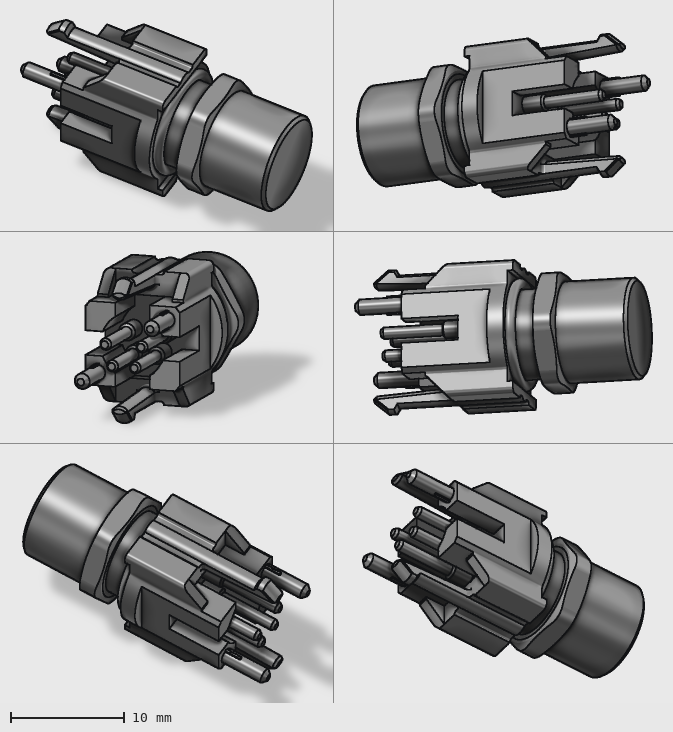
import cadquery as cq
import math

X_AXIS = cq.Vector(1, 0, 0)

body_diameter = 11.0
neck_diameter = 8.0
barrel_diameter = 9.0
barrel_chamfer = 0.3
block_front = 4.45
flange_front = 12.5
flange_back = 14.0
barrel_front = 16.5
barrel_end = 25.0

block_half_width = 4.4
wing_half_width = 4.0
block_half_height = math.sqrt((body_diameter / 2) ** 2 - wing_half_width ** 2)
recess_floor = 9.6
recess_diameter = 6.0
side_slot_height = 2.2
vertical_slot_width = 3.24

wing_height = 6.0
wing_front = 8.47
wing_back = 14.5
wing_edge_radius = 0.5
wing_foot_radius = 0.45
overhang_height = 5.0
channel_width = 3.0
channel_depth = 0.3
channel_corner_radius = 0.29
rib_front = 6.5
rib_inner_y = 3.0

beam_half_width = 0.75
beam_crown_radius = 1.05
beam_belly_radius = 0.87
beam_root_radius = 0.3
beam_tip_x = 0.93
beam_tip_half_width = 0.55
beam_tip_top = 5.45
beam_tip_bottom = 5.0
beam_start_x = 1.2
beam_start_bottom = 4.78
belly_slope = 0.05
hook_top = 6.5
hook_slope_x = 2.2
hook_back_x = 2.82
hook_heel_x = 3.13
hook_edge_chamfer = 0.08

signal_pin_tip = 1.92
signal_pin_diameter = 1.05
signal_pin_chamfer = (0.18, 0.28)
signal_collar_front = 7.76
signal_collar_taper = 0.18
signal_collar_diameter = 1.55
signal_pin_places = [(-1.7, 0.49), (1.7, 0.49), (-1.06, -1.43), (1.06, -1.43)]

shield_pin_diameter = 1.4
shield_pin_chamfer = (0.38, 0.4)
shield_pin_places = [(-3.25, 2.6), (3.25, -2.6)]
key_front = 2.87
key_width = 0.25
key_height = 1.66

ring_section_diameter = 1.0
ring_centre_x = 14.34

nut_length = 2.0
nut_across_flats = 10.0
nut_corner_radius = 1.8
nut_face_diameter = 9.6
nut_chamfer_length = 0.22


def box(x_range, y_range, z_range):
    """Axis-aligned block between the given limits."""
    size = [high - low for low, high in (x_range, y_range, z_range)]
    corner = (x_range[0], y_range[0], z_range[0])
    return cq.Workplane("XY").box(*size, centered=False).translate(corner)


def cylinder(diameter, start, end, y=0.0, z=0.0):
    """Cylinder along X between two stations."""
    return cq.Workplane("YZ", origin=(start, y, z)).circle(diameter / 2).extrude(end - start)


def turned(profile, y=0.0, z=0.0):
    """Solid turned about an X-parallel axis from an (x, radius) profile."""
    turn = cq.Workplane("XY").polyline(profile).close().revolve(360, (0, 0, 0), (1, 0, 0))
    return turn.translate((0, y, z))


def make_ring():
    section_radius = ring_section_diameter / 2
    centre_radius = neck_diameter / 2 + section_radius
    return cq.Workplane(
        cq.Solid.makeTorus(centre_radius, section_radius, cq.Vector(ring_centre_x, 0, 0), X_AXIS)
    )


def make_nut():
    across_corners = nut_across_flats / math.cos(math.pi / 6)
    hexagon = (
        cq.Workplane("YZ", origin=(barrel_front, 0, 0))
        .polygon(6, across_corners)
        .extrude(nut_length)
        .edges("|X")
        .fillet(nut_corner_radius)
    )
    face_radius = nut_face_diameter / 2
    corner_reach = across_corners / 2 - nut_corner_radius * (1 / math.cos(math.pi / 6) - 1)
    nut_end = barrel_front + nut_length
    chamfered_blank = turned([
        (barrel_front, 0),
        (barrel_front, face_radius),
        (barrel_front + nut_chamfer_length, corner_reach),
        (nut_end - nut_chamfer_length, corner_reach),
        (nut_end, face_radius),
        (nut_end, 0),
    ])
    return hexagon.intersect(chamfered_blank).cut(cylinder(barrel_diameter, barrel_front, nut_end))


def make_core():
    """Flatted round body with its flange, the neck and the barrel."""
    flats = box(
        (block_front, flange_front),
        (-block_half_width, block_half_width),
        (-block_half_height, block_half_height),
    )
    block = cylinder(body_diameter, block_front, flange_front).intersect(flats)
    flange = cylinder(body_diameter, flange_front, flange_back)
    neck = cylinder(neck_diameter, flange_back, barrel_front)
    barrel = cylinder(barrel_diameter, barrel_front, barrel_end).faces(">X").chamfer(barrel_chamfer)
    return block.union(flange).union(neck).union(barrel)


def make_recess():
    """Cutter for the round recess crossed by two through slots."""
    reach = (block_front, recess_floor)
    side_slot = box(
        reach,
        (-block_half_width, block_half_width),
        (-side_slot_height / 2, side_slot_height / 2),
    )
    vertical_slot = box(
        reach,
        (-vertical_slot_width / 2, vertical_slot_width / 2),
        (-block_half_height, block_half_height),
    )
    return cylinder(recess_diameter, *reach).union(side_slot).union(vertical_slot)


def make_wing():
    """Upper wing with sloped front ribs and a top channel."""
    rib_foot = wing_height - (wing_front - rib_front)
    profile = (
        cq.Workplane("XZ", origin=(0, wing_half_width, 0))
        .moveTo(rib_front, block_half_height)
        .lineTo(rib_front, rib_foot)
        .lineTo(wing_front, wing_height)
        .lineTo(wing_back, wing_height)
        .lineTo(wing_back, block_half_height)
        .close()
        .extrude(2 * wing_half_width)
    )
    wing = profile.edges("|X and >Z").fillet(wing_edge_radius)
    between_ribs = box(
        (rib_front, wing_front), (-rib_inner_y, rib_inner_y), (block_half_height, wing_height)
    )
    channel = box(
        (rib_front, wing_back),
        (-channel_width / 2, channel_width / 2),
        (wing_height - channel_depth, wing_height + channel_depth),
    ).edges("|X and <Z").fillet(channel_corner_radius)
    return wing.cut(between_ribs).cut(channel)


def make_wing_foot():
    """Concave strips along the body where it meets the sides of the upper wing."""
    body_radius = body_diameter / 2
    centre_y = wing_half_width + wing_foot_radius
    centre_z = math.sqrt((body_radius + wing_foot_radius) ** 2 - centre_y ** 2)
    half_bend = math.atan2(centre_z, centre_y) / 2
    to_body_radius = body_radius / (body_radius + wing_foot_radius)
    strip = (
        cq.Workplane("YZ", origin=(block_front, 0, 0))
        .moveTo(wing_half_width, centre_z)
        .threePointArc(
            (
                centre_y - wing_foot_radius * math.cos(half_bend),
                centre_z - wing_foot_radius * math.sin(half_bend),
            ),
            (centre_y * to_body_radius, centre_z * to_body_radius),
        )
        .lineTo(wing_half_width - wing_foot_radius, block_half_height - wing_foot_radius)
        .close()
        .extrude(flange_back - block_front)
    )
    above_block = box(
        (block_front, rib_front),
        (-block_half_width, block_half_width),
        (block_half_height, wing_height),
    )
    return strip.union(strip.mirror("XZ")).cut(above_block)


def beam_section(x, half_width, top, bottom):
    """Closed beam outline at one station along X."""
    crown_drop = beam_crown_radius - math.sqrt(beam_crown_radius ** 2 - half_width ** 2)
    belly_rise = beam_belly_radius - math.sqrt(beam_belly_radius ** 2 - half_width ** 2)
    outline = (
        cq.Workplane("YZ", origin=(x, 0, 0))
        .moveTo(-half_width, bottom + belly_rise)
        .threePointArc((0, bottom), (half_width, bottom + belly_rise))
        .lineTo(half_width, top - crown_drop)
        .threePointArc((0, top), (-half_width, top - crown_drop))
        .close()
    )
    return outline.val()


def make_beam():
    """Upper latch beam: blunt tip, hook, then a shank tapering towards its free end."""
    hook_slope = (hook_top - beam_tip_top) / (hook_slope_x - beam_tip_x)
    stations = [
        (beam_start_x, beam_tip_top + hook_slope * (beam_start_x - beam_tip_x)),
        (hook_slope_x, hook_top),
        (hook_back_x, hook_top),
        (hook_heel_x, wing_height),
        (wing_back, wing_height),
    ]
    sections = [beam_section(beam_tip_x, beam_tip_half_width, beam_tip_top, beam_tip_bottom)]
    for x, top in stations:
        bottom = beam_start_bottom - belly_slope * (x - beam_start_x)
        sections.append(beam_section(x, beam_half_width, top, bottom))
    beam = cq.Workplane(cq.Solid.makeLoft(sections, True))
    slope_edges = cq.selectors.BoxSelector(
        (beam_start_x, -wing_half_width, beam_tip_top), (hook_slope_x, wing_half_width, hook_top)
    )
    return beam.edges(slope_edges).edges("<Y or >Y").chamfer(hook_edge_chamfer)


def make_beam_root():
    """Cove around the sides and belly of the beam where it leaves the wing front."""
    belly_bottom = beam_start_bottom - belly_slope * (wing_front - beam_start_x)
    belly_centre = belly_bottom + beam_belly_radius
    side_start = belly_centre - math.sqrt(beam_belly_radius ** 2 - beam_half_width ** 2)
    channel_floor = wing_height - channel_depth
    cove_front = wing_front - beam_root_radius
    arc_across = beam_root_radius * math.sqrt(0.5)
    arc_out = beam_root_radius - arc_across
    outer_half_width = beam_half_width + beam_root_radius
    side_coves = (
        cq.Workplane("XY", origin=(0, 0, side_start))
        .moveTo(cove_front, beam_half_width)
        .threePointArc(
            (cove_front + arc_across, beam_half_width + arc_out), (wing_front, outer_half_width)
        )
        .lineTo(wing_front, -outer_half_width)
        .threePointArc(
            (cove_front + arc_across, -beam_half_width - arc_out), (cove_front, -beam_half_width)
        )
        .close()
        .extrude(channel_floor - side_start)
    )
    belly_cove = (
        cq.Workplane("XY")
        .moveTo(cove_front, 0)
        .lineTo(cove_front, beam_belly_radius)
        .threePointArc(
            (cove_front + arc_across, beam_belly_radius + arc_out),
            (wing_front, beam_belly_radius + beam_root_radius),
        )
        .lineTo(wing_front, 0)
        .close()
        .revolve(360, (0, 0, 0), (1, 0, 0))
        .translate((0, 0, belly_centre))
    )
    below_sides = box(
        (cove_front, wing_front),
        (-outer_half_width, outer_half_width),
        (block_half_height, side_start),
    )
    return side_coves.union(belly_cove.intersect(below_sides))


def make_latch():
    """Upper wing and its foot, joined to the latch beam."""
    return make_wing().union(make_wing_foot()).union(make_beam()).union(make_beam_root())


def make_signal_pin(y, z):
    radius = signal_pin_diameter / 2
    collar_radius = signal_collar_diameter / 2
    chamfer_rise, chamfer_length = signal_pin_chamfer
    return turned([
        (signal_pin_tip, 0),
        (signal_pin_tip, radius - chamfer_rise),
        (signal_pin_tip + chamfer_length, radius),
        (signal_collar_front - signal_collar_taper, radius),
        (signal_collar_front, collar_radius),
        (recess_floor, collar_radius),
        (recess_floor, 0),
    ], y, z)


def make_shield_pin(y, z):
    radius = shield_pin_diameter / 2
    chamfer_rise, chamfer_length = shield_pin_chamfer
    pin = turned([
        (0, 0),
        (0, radius - chamfer_rise),
        (chamfer_length, radius),
        (block_front, radius),
        (block_front, 0),
    ], y, z)
    key = box(
        (key_front, block_front),
        (y - key_width / 2, y + key_width / 2),
        (z - key_height / 2, z + key_height / 2),
    )
    return pin.union(key)


def make_housing():
    latch = make_latch()
    housing = make_core().cut(make_recess()).union(latch).union(latch.mirror("XY"))
    ring_clearance = box(
        (flange_back, wing_back),
        (-wing_half_width, wing_half_width),
        (-overhang_height, overhang_height),
    ).cut(cylinder(neck_diameter, flange_back, wing_back))
    housing = housing.cut(ring_clearance)
    for y, z in signal_pin_places:
        housing = housing.union(make_signal_pin(y, z))
    for y, z in shield_pin_places:
        housing = housing.union(make_shield_pin(y, z))
    return housing


ring = make_ring()
nut = make_nut()
housing = make_housing().cut(ring)

result = cq.Compound.makeCompound([housing.solids().val(), ring.val(), nut.solids().val()])